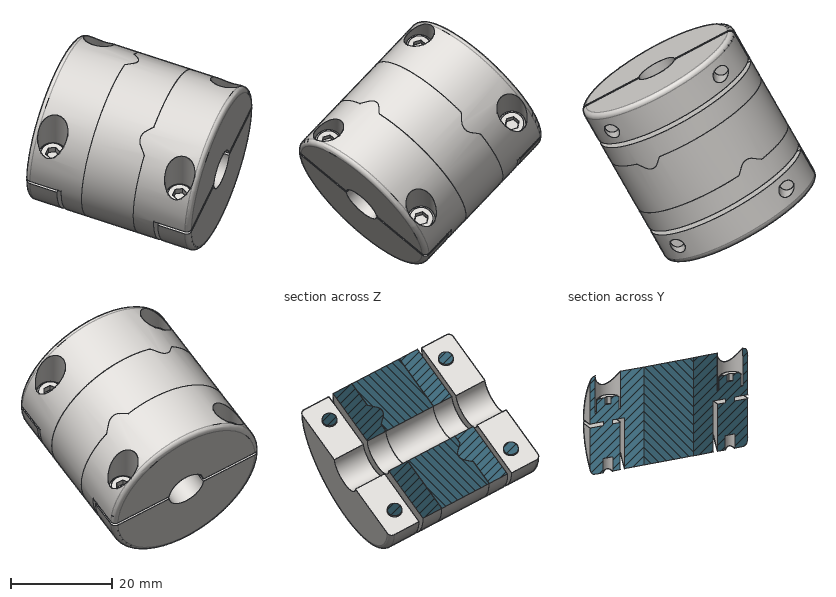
import cadquery as cq
import math


length = 35
outer_diameter = 34.0
bore_diameter = 8.0
hub_length = 12.0
end_fillet = 1.0
spacer_length = length - 2 * hub_length

rib_offset = 8.5
rib_width = 5.1
rib_tip_radius = 1.75
rib_flank_angle = math.radians(45)

slit_height = 0.75
cap_length = 6.75
cap_gap = 0.9

screw_inset = 4.0
screw_offset = 12.25
shank_diameter = 3.0
head_diameter = 5.5
head_height = 3.0
head_top_z = 5.5
head_chamfer = 0.42
counterbore_diameter = 6.0
socket_across_flats = 2.5
socket_depth = 1.5
shank_end_z = -7.5

radius = outer_diameter / 2
end_x = -length / 2
inner_x = end_x + hub_length
screw_x = end_x + screw_inset
head_seat_z = head_top_z - head_height


def tube(start_x, tube_length):
    """Hollow cylinder along X with the common outer diameter and bore."""
    return (
        cq.Workplane("YZ", origin=(start_x, 0, 0))
        .circle(radius)
        .circle(bore_diameter / 2)
        .extrude(tube_length)
    )


def upright_cylinder(diameter, side_y, bottom_z, top_z):
    """Cylinder along Z on the axis of one clamp screw."""
    return (
        cq.Workplane("XY", origin=(screw_x, side_y, bottom_z))
        .circle(diameter / 2)
        .extrude(top_z - bottom_z)
    )


def drive_rib():
    """Rib along Z on the left hub's inner face: straight flanks and a tangent round tip."""
    apex_x = inner_x + rib_width / 2 * math.tan(rib_flank_angle)
    tip_center_x = apex_x - rib_tip_radius / math.cos(rib_flank_angle)
    tangent_x = tip_center_x + rib_tip_radius * math.cos(rib_flank_angle)
    tangent_y = rib_tip_radius * math.sin(rib_flank_angle)
    profile = (
        cq.Workplane("XY")
        .moveTo(inner_x, rib_offset - rib_width / 2)
        .lineTo(tangent_x, rib_offset - tangent_y)
        .threePointArc((tip_center_x + rib_tip_radius, rib_offset), (tangent_x, rib_offset + tangent_y))
        .lineTo(inner_x, rib_offset + rib_width / 2)
        .close()
    )
    bar = profile.extrude(radius, both=True)
    envelope = cq.Workplane("YZ", origin=(inner_x, 0, 0)).circle(radius).extrude(hub_length)
    return bar.intersect(envelope)


def clamp_slits():
    """L-shaped cut: a level slit in from the end, and a gap from there down behind the cap."""
    slot_length = cap_length + cap_gap
    level_slit = cq.Workplane("XY").box(
        slot_length, outer_diameter, slit_height, centered=(False, True, True)
    )
    upright_gap = (
        cq.Workplane("XY", origin=(cap_length, 0, 0))
        .rect(cap_gap, outer_diameter, centered=(False, True))
        .extrude(-radius)
    )
    return level_slit.union(upright_gap).translate((end_x, 0, 0))


def clamp_screw(side_y):
    """Socket-head screw with a chamfered head and a hexagon socket pointing along Y."""
    head = upright_cylinder(head_diameter, side_y, head_seat_z, head_top_z)
    head = head.faces(">Z").chamfer(head_chamfer)
    socket = (
        cq.Workplane("XY", origin=(screw_x, side_y, head_top_z))
        .polygon(6, socket_across_flats, circumscribed=True)
        .extrude(-socket_depth)
    )
    shank = upright_cylinder(shank_diameter, side_y, shank_end_z, head_seat_z)
    return head.cut(socket).union(shank)


def build_left_hub():
    """Hub and clamp cap joined by the two screws into a single body."""
    hub = tube(end_x, hub_length)
    hub = hub.faces("<X").edges(cq.selectors.RadiusNthSelector(-1)).fillet(end_fillet)
    hub = hub.union(drive_rib()).cut(clamp_slits())
    for side_y in (-screw_offset, screw_offset):
        hub = hub.cut(upright_cylinder(counterbore_diameter, side_y, head_seat_z, radius))
        hub = hub.cut(upright_cylinder(shank_diameter, side_y, -radius, head_seat_z))
        hub = hub.union(clamp_screw(side_y))
    return hub


def turned_end_for_end(shape):
    """The shape turned half a revolution about Z."""
    return shape.rotate((0, 0, 0), (0, 0, 1), 180)


def build_spacer():
    """Plain tube with a groove in each face that fits the hub's rib."""
    groove = drive_rib()
    return tube(inner_x, spacer_length).cut(groove).cut(turned_end_for_end(groove))


left_hub = build_left_hub()
right_hub = turned_end_for_end(left_hub)
spacer = build_spacer()

result = cq.Compound.makeCompound(
    [left_hub.solids().val(), spacer.solids().val(), right_hub.solids().val()]
)